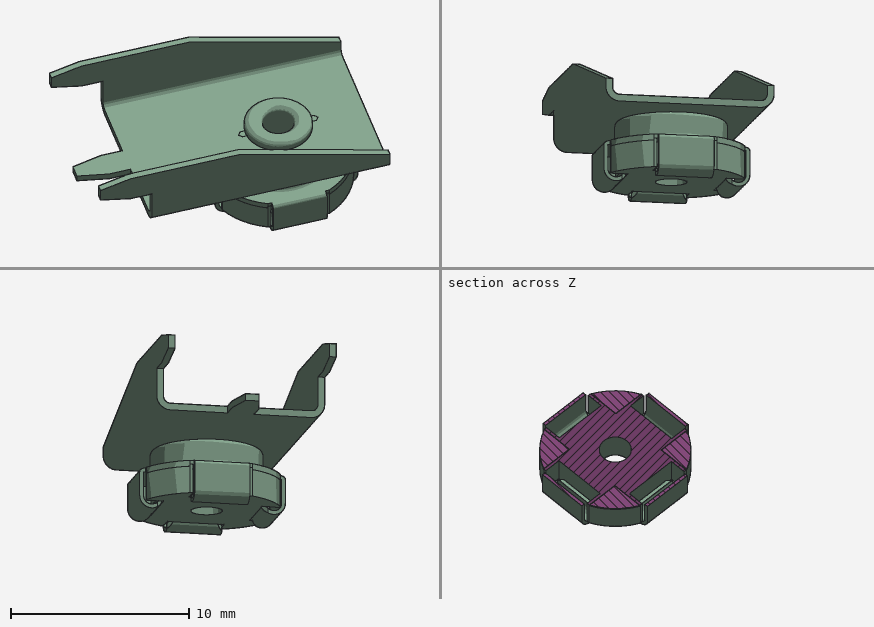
import cadquery as cq
import math


bracket_width = 9.65
bracket_sheet = 0.39
bend_outer = 2 * bracket_sheet
bend_inner = bend_outer - bracket_sheet
overall_length = 17.02
back_y = 5.07
front_y = -8.92
tip_y = back_y - overall_length
taper_start_y = -10.18
wing_top = 3.97
wing_back_height = 1.28
wing_slope_end_y = -3.75
wing_tip_top = 3.55
wing_tip_bottom = 2.79
wing_arm_bottom = 2.37
prong_width = 1.53
prong_tip_width = 0.77

bore_radius = 0.89
shank_radius = bore_radius + bracket_sheet
key_width = 0.4
key_shoulder = 2.18
key_tip = 2.33
rivet_head_radius = 1.92
rivet_head_edge_z = 0.63
rivet_head_top_z = 0.9
neck_radius = 3.17
neck_height = 1.53
neck_top_fillet = 0.24
neck_foot_fillet = 0.27
tab_count = 4
tab_sheet = 0.22
tab_reach = 4.19
tab_width = 3.17
hook_radius = 0.68
hook_taper_x = 3.17
flat_distance = 3.85
flat_half_width = 1.8
drum_radius = math.hypot(flat_distance, flat_half_width)
corner_pad_depth = 0.34

insert_bottom_z = -3.4
slot_width = 3.27

flange_top_z = -neck_height
flange_bottom_z = flange_top_z - tab_sheet
pad_bottom_z = flange_top_z - corner_pad_depth
hook_center_x = tab_reach - hook_radius
hook_center_z = -3.13
hook_end_x = hook_center_x - hook_radius


def cylinder(radius, bottom_z, top_z):
    return cq.Workplane("XY").workplane(offset=bottom_z).circle(radius).extrude(top_z - bottom_z)


def drum(bottom_z, top_z):
    """Round disc with four flats, one facing each tab."""
    flats = cq.Workplane("XY").box(2 * flat_distance, 2 * flat_distance, top_z - bottom_z)
    flats = flats.translate((0, 0, (bottom_z + top_z) / 2))
    return cylinder(drum_radius, bottom_z, top_z).intersect(flats)


def corner_blocks():
    """Four square columns around the flange rim, one between each two neighbouring tabs."""
    side = drum_radius - flat_half_width
    spacing = drum_radius + flat_half_width
    return (
        cq.Workplane("XY")
        .workplane(offset=pad_bottom_z)
        .rect(spacing, spacing, forConstruction=True)
        .vertices()
        .rect(side, side)
        .extrude(corner_pad_depth)
    )


def flange():
    """Thin plate with thicker corners between the tabs."""
    corner_pads = corner_blocks().intersect(cylinder(drum_radius, pad_bottom_z, flange_top_z))
    return drum(flange_bottom_z, flange_top_z).union(corner_pads)


def channel():
    """U-shaped sheet with rounded bends, running the full length."""
    outer = (
        cq.Workplane("XY")
        .box(bracket_width, overall_length, wing_top, centered=(True, False, False))
        .edges("|Y and <Z")
        .fillet(bend_outer)
    )
    inner = (
        cq.Workplane("XY")
        .box(bracket_width - 2 * bracket_sheet, overall_length, wing_top, centered=(True, False, False))
        .edges("|Y and <Z")
        .fillet(bend_inner)
        .translate((0, 0, bracket_sheet))
    )
    return outer.cut(inner).translate((0, tip_y, 0))


def wing_outline():
    """Side outline of the channel, with an arm reaching forward from each wing."""
    return (
        cq.Workplane("YZ")
        .polyline([
            (back_y, 0),
            (back_y, wing_back_height),
            (wing_slope_end_y, wing_top),
            (taper_start_y, wing_top),
            (tip_y, wing_tip_top),
            (tip_y, wing_tip_bottom),
            (taper_start_y, wing_arm_bottom),
            (front_y, wing_arm_bottom),
            (front_y, 0),
        ])
        .close()
        .extrude(bracket_width)
        .translate((-bracket_width / 2, 0, 0))
    )


def prong():
    half = prong_width / 2
    tip_half = prong_tip_width / 2
    return (
        cq.Workplane("XY")
        .polyline([
            (-half, front_y),
            (-half, taper_start_y),
            (-tip_half, tip_y),
            (tip_half, tip_y),
            (half, taper_start_y),
            (half, front_y),
        ])
        .close()
        .extrude(bracket_sheet)
    )


def rivet_shank():
    """Round shank with two opposite pointed keys along Y that stop it turning."""
    half = key_width / 2
    keys = (
        cq.Workplane("XY")
        .polyline([
            (half, -key_shoulder),
            (half, key_shoulder),
            (0, key_tip),
            (-half, key_shoulder),
            (-half, -key_shoulder),
            (0, -key_tip),
        ])
        .close()
        .extrude(bracket_sheet)
    )
    return cylinder(shank_radius, 0, bracket_sheet).union(keys)


def make_bracket():
    return channel().intersect(wing_outline()).union(prong()).cut(rivet_shank())


def rivet_head():
    """Washer-like head with an elliptical crown between its rim and the bore."""
    crown_half_width = (rivet_head_radius - bore_radius) / 2
    crown_height = rivet_head_top_z - rivet_head_edge_z
    return (
        cq.Workplane("XZ")
        .moveTo(bore_radius, bracket_sheet)
        .lineTo(rivet_head_radius, bracket_sheet)
        .lineTo(rivet_head_radius, rivet_head_edge_z)
        .ellipseArc(crown_half_width, crown_height, 0, 180, startAtCurrent=True)
        .close()
        .revolve(360, (0, 0, 0), (0, 1, 0))
    )


def neck():
    """Round neck with a rounded top edge and a flared foot on the flange."""
    top_blend = neck_top_fillet * (1 - math.sqrt(0.5))
    foot_blend = neck_foot_fillet * (1 - math.sqrt(0.5))
    return (
        cq.Workplane("XZ")
        .moveTo(0, flange_top_z)
        .lineTo(neck_radius + neck_foot_fillet, flange_top_z)
        .threePointArc(
            (neck_radius + foot_blend, flange_top_z + foot_blend),
            (neck_radius, flange_top_z + neck_foot_fillet),
        )
        .lineTo(neck_radius, -neck_top_fillet)
        .threePointArc(
            (neck_radius - top_blend, -top_blend),
            (neck_radius - neck_top_fillet, 0),
        )
        .lineTo(0, 0)
        .close()
        .revolve(360, (0, 0, 0), (0, 1, 0))
    )


def tab():
    """Tab on the +X side: out from the flange, down, and curled up inside the insert."""
    hook_inner = hook_radius - tab_sheet
    strip = (
        cq.Workplane("XZ")
        .moveTo(neck_radius, flange_top_z)
        .lineTo(flat_distance, flange_top_z)
        .ellipseArc(tab_reach - flat_distance, tab_sheet, 0, 90, sense=-1, startAtCurrent=True)
        .lineTo(tab_reach, hook_center_z)
        .threePointArc(
            (hook_center_x, hook_center_z - hook_radius),
            (hook_end_x, hook_center_z),
        )
        .lineTo(hook_end_x + tab_sheet, hook_center_z)
        .threePointArc(
            (hook_center_x, hook_center_z - hook_inner),
            (tab_reach - tab_sheet, hook_center_z),
        )
        .lineTo(tab_reach - tab_sheet, flange_bottom_z)
        .lineTo(neck_radius, flange_bottom_z)
        .close()
        .extrude(tab_width)
        .translate((0, tab_width / 2, 0))
    )
    return strip.intersect(tab_plan())


def tab_plan():
    """Plan outline of a tab, narrowing at 45 degrees towards the hook's end."""
    half = tab_width / 2
    end_half = half - (hook_taper_x - hook_end_x)
    depth = hook_radius - hook_center_z
    return (
        cq.Workplane("XY")
        .polyline([
            (hook_end_x, -end_half),
            (hook_taper_x, -half),
            (tab_reach, -half),
            (tab_reach, half),
            (hook_taper_x, half),
            (hook_end_x, end_half),
        ])
        .close()
        .extrude(-depth)
    )


def make_socket():
    body = neck().union(flange()).union(rivet_shank())
    for index in range(tab_count):
        body = body.union(tab().rotate((0, 0, 0), (0, 0, 1), index * 360 / tab_count))
    body = body.cut(cylinder(bore_radius, flange_bottom_z, bracket_sheet))
    return body.union(rivet_head())


def hook_slot():
    """Slot on the +X side, open at the bottom, that houses the curled end of a tab."""
    slot_depth = flat_distance - hook_end_x
    slot_height = flange_bottom_z - insert_bottom_z
    slot = cq.Workplane("XY").box(slot_depth, slot_width, slot_height, centered=(False, True, False))
    return slot.translate((hook_end_x, 0, insert_bottom_z))


def make_insert():
    block = drum(insert_bottom_z, flange_bottom_z).cut(corner_blocks())
    for index in range(tab_count):
        block = block.cut(hook_slot().rotate((0, 0, 0), (0, 0, 1), index * 360 / tab_count))
    return block.cut(cylinder(bore_radius, insert_bottom_z, flange_bottom_z))


bracket = make_bracket()
socket = make_socket()
insert = make_insert()

result = cq.Compound.makeCompound([bracket.val(), socket.val(), insert.val()])